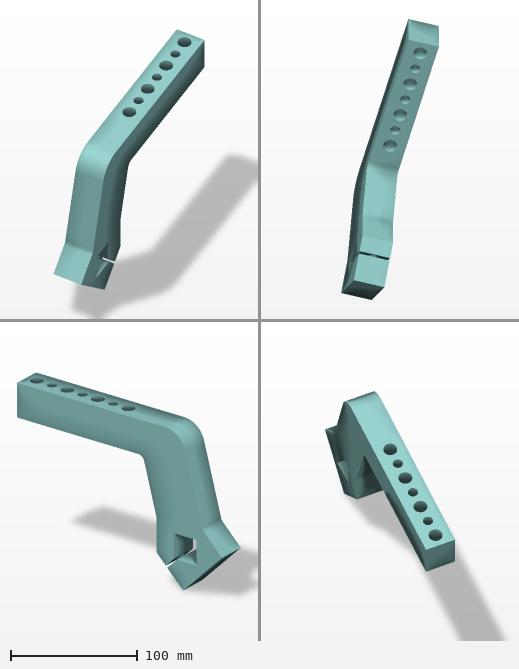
import cadquery as cq
import math

WIDTH = 25.0

ARM_END_Y = 165.0
ARM_TOP_Z = 100.0
ARM_HEIGHT = 30.0
OUTER_BEND_RADIUS = 20.0
INNER_BEND_RADIUS = 6.0

LEG_TILT = math.radians(15.0)
LEG_THICKNESS = 44.0
LEG_BACK_BOTTOM_Z = 19.5
NECK_RADIUS = 6.0
BACK_BLEND_RADIUS = 20.0

HEAD_ANGLE = math.radians(45.0)
HEAD_LENGTH = 54.0
HEAD_BOTTOM_DISTANCE = 24.0
HEAD_BACK_Y = 28.0
SQUARE_SIDE = 22.0

SLOT_WIDTH = 2.0
PIN_DIAMETER = 8.0
PIN_LENGTH = 6.0
PIN_FROM_CENTRE = 20.0

HOLE_COUNT = 7
HOLE_PITCH = 15.0
HOLE_END_MARGIN = 10.0
LARGE_HOLE_DIAMETER = 11.0
SMALL_HOLE_DIAMETER = 8.0


def head_point(along, down):
    """YZ point at `along` towards -Y +Z and `down` towards -Y -Z, both from the hole centre."""
    sine = math.sin(HEAD_ANGLE)
    cosine = math.cos(HEAD_ANGLE)
    return (-along * cosine - down * sine, along * sine - down * cosine)


def make_body():
    slope = math.tan(LEG_TILT)
    arm_bottom_z = ARM_TOP_Z - ARM_HEIGHT
    half_length = HEAD_LENGTH / 2

    def leg_back_y(z):
        return HEAD_BACK_Y + (z - LEG_BACK_BOTTOM_Z) * slope

    def leg_front_y(z):
        return leg_back_y(z) - LEG_THICKNESS / math.cos(LEG_TILT)

    edge_rise = half_length / math.cos(HEAD_ANGLE)
    neck_y = (leg_front_y(0) + edge_rise * slope) / (1 - slope)
    neck = (neck_y, neck_y + edge_rise)
    back_blend = (HEAD_BACK_Y, LEG_BACK_BOTTOM_Z)
    outer_bend = (leg_front_y(ARM_TOP_Z), ARM_TOP_Z)
    inner_bend = (leg_back_y(arm_bottom_z), arm_bottom_z)

    outline = [
        (ARM_END_Y, ARM_TOP_Z),
        outer_bend,
        neck,
        head_point(half_length, HEAD_BOTTOM_DISTANCE),
        head_point(-half_length, HEAD_BOTTOM_DISTANCE),
        (HEAD_BACK_Y, HEAD_BACK_Y - edge_rise),
        back_blend,
        inner_bend,
        (ARM_END_Y, arm_bottom_z),
    ]
    body = cq.Workplane("YZ").polyline(outline).close().extrude(WIDTH / 2, both=True)
    for corner, radius in (
        (outer_bend, OUTER_BEND_RADIUS),
        (inner_bend, INNER_BEND_RADIUS),
        (neck, NECK_RADIUS),
        (back_blend, BACK_BLEND_RADIUS),
    ):
        nearest = cq.selectors.NearestToPointSelector((0, *corner))
        body = body.edges("|X").edges(nearest).fillet(radius)
    return body


def make_square_hole():
    return cq.Workplane("YZ").rect(SQUARE_SIDE, SQUARE_SIDE).extrude(WIDTH, both=True)


def make_slot():
    """Cut from the lower back corner of the square hole out through the head."""
    return (
        cq.Workplane("XY")
        .box(2 * WIDTH, HEAD_LENGTH, SLOT_WIDTH, centered=(True, False, False))
        .translate((0, 0, -SLOT_WIDTH))
        .rotate((0, 0, 0), (1, 0, 0), -math.degrees(HEAD_ANGLE))
    )


def make_pin():
    """Pin square to the slot, with both ends buried in the head."""
    return (
        cq.Workplane("XY")
        .center(0, PIN_FROM_CENTRE)
        .circle(PIN_DIAMETER / 2)
        .extrude(PIN_LENGTH / 2, both=True)
        .translate((0, 0, -SLOT_WIDTH / 2))
        .rotate((0, 0, 0), (1, 0, 0), -math.degrees(HEAD_ANGLE))
    )


def make_arm_holes(first_index, diameter):
    """Every second through hole of the row, starting at first_index from the arm end."""
    first_y = ARM_END_Y - HOLE_END_MARGIN
    centres = [(0, first_y - index * HOLE_PITCH) for index in range(first_index, HOLE_COUNT, 2)]
    return (
        cq.Workplane("XY", origin=(0, 0, ARM_TOP_Z))
        .pushPoints(centres)
        .circle(diameter / 2)
        .extrude(-ARM_HEIGHT)
    )


result = (
    make_body()
    .cut(make_slot())
    .union(make_pin())
    .cut(make_square_hole())
    .cut(make_arm_holes(0, LARGE_HOLE_DIAMETER))
    .cut(make_arm_holes(1, SMALL_HOLE_DIAMETER))
)